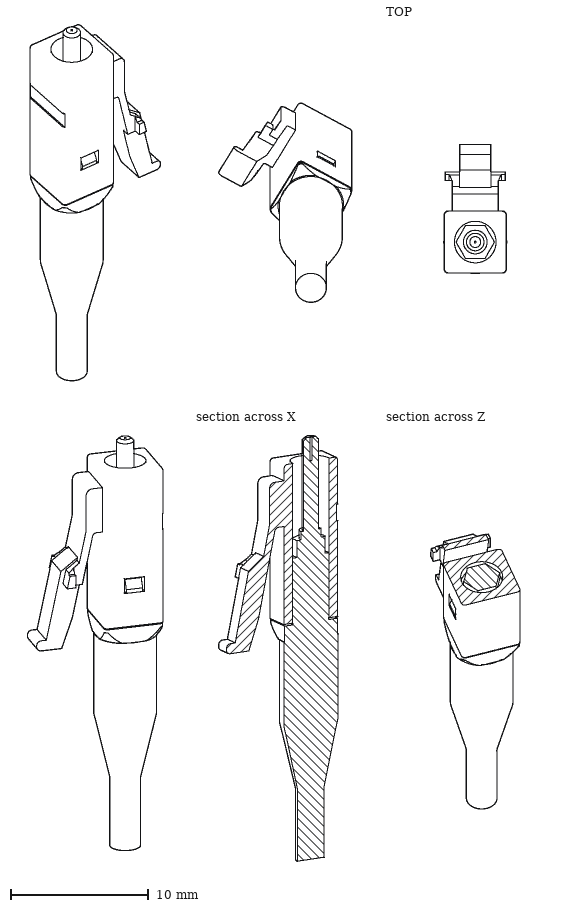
import cadquery as cq
import math


BOOT_CONE_START_Z = 5.33
BOOT_BARREL_START_Z = 10.32
BOOT_TOP_Z = 16.65
COLLAR_TOP_Z = 17.85
HOUSING_BOTTOM_Z = 17.95
HOUSING_TOP_Z = 29.97
FERRULE_TIP_Z = 31.75

HOUSING_WIDTH = 4.5
EDGE_RADIUS = 0.3
BORE_RADIUS = 3.02 / 2
BAND_BOTTOM_Z = 25.15
BAND_HEIGHT = 1.25
BAND_DEPTH = 0.1

WINDOW_WIDTH = 1.52
WINDOW_BOTTOM_Z = 20.55
WINDOW_HEIGHT = 1.15
TAB_WIDTH = 1.25
TAB_REACH = 2.25
TAB_RAMP_ROOT = 1.9
TAB_RAMP_START_Z = 20.83
TAB_TOP_Z = 21.5

LATCH_ARM_WIDTH = 3.35
LATCH_LEVER_WIDTH = 2.25
LATCH_TOP_Z = 28.75
LATCH_ROOT_Z = 25.3
LATCH_BACK_Y = 3.5
LATCH_BEND_Z = 25.55
ARM_BOTTOM_Z = 21.4
LEVER_BOTTOM_Z = 16.35
LEVER_KINK_Z = 18.67
FOOT_HEIGHT = 0.8
FOOT_TIP_Y = 7.08
FOOT_INNER_Y = 5.18
FOOT_RADIUS = 0.35
SHOULDER_RADIUS = 0.48
ROOT_RADIUS = 0.3
LATCH_LEAN = math.tan(math.radians(12))
INNER_EDGE_Y = 2.95
STEP_START_Y = 3.97
STEP_END_Y = 5.25
STEP_DROP = 0.95
ARM_STEP_OFFSET = 0.22
ARM_OUTER_Y = 4.85

WING_SPAN = 4.38
WING_INNER_Y = 4.45
WING_TOP_Z = 22.35
GUSSET_WIDTH = 0.22
GUSSET_STEEPNESS = 2

CABLE_RADIUS = 2.25 / 2
BOOT_RADIUS = 2.3
COLLAR_WIDTH = 4.45
DOME_BOTTOM_RADIUS = 2.38
DOME_MIDDLE_RADIUS = 2.67
DOME_MIDDLE_HEIGHT = 0.4
DOME_TOP_RADIUS = 3.0
DOME_TOP_HEIGHT = 0.95
INSERT_TOP_Z = 22.85
HEX_ACROSS_FLATS = 2.4
HEX_HEIGHT = 1.27
SEAT_RADIUS = 0.85
SEAT_HEIGHT = 0.65
FERRULE_RADIUS = 0.65
FERRULE_TIP_RADIUS = 0.8 / 2
FERRULE_TIP_HEIGHT = 0.22
FIBRE_HOLE_RADIUS = 0.05
FIBRE_HOLE_DEPTH = 1.78

SIDES = (-1, 1)


def square_block(width, bottom, top):
    """Square bar on the Z axis with rounded upright edges."""
    block = cq.Workplane("XY").workplane(offset=bottom).rect(width, width).extrude(top - bottom)
    return block.edges("|Z").fillet(EDGE_RADIUS)


def cylinder(radius, bottom, top):
    """Round bar on the Z axis."""
    return cq.Workplane("XY").workplane(offset=bottom).circle(radius).extrude(top - bottom)


def side_extrusion(points, width):
    """Extrude a (y, z) outline symmetrically about the X = 0 plane."""
    return cq.Workplane("YZ").polyline(points).close().extrude(width / 2, both=True)


def inner_edge_y(z):
    return INNER_EDGE_Y + (LATCH_ROOT_Z - z) * LATCH_LEAN


def back_edge_y(z):
    return LATCH_BACK_Y + (LATCH_BEND_Z - z) * LATCH_LEAN


STEP_START_Z = LATCH_BEND_Z - (STEP_START_Y - LATCH_BACK_Y) / LATCH_LEAN
STEP_SLOPE = STEP_DROP / (STEP_END_Y - STEP_START_Y)
ARM_STEP_Z = STEP_START_Z - ARM_STEP_OFFSET
ARM_OUTER_Z = ARM_STEP_Z - (ARM_OUTER_Y - back_edge_y(ARM_STEP_Z)) * STEP_SLOPE


def arm_outer_y(z):
    """Outer face of the wide arm and its wings, below the step."""
    return ARM_OUTER_Y + (ARM_OUTER_Z - z) * LATCH_LEAN


def make_latch_arm():
    root_y = HOUSING_WIDTH / 2
    outline = [
        (root_y, LATCH_TOP_Z),
        (LATCH_BACK_Y, LATCH_TOP_Z),
        (LATCH_BACK_Y, LATCH_BEND_Z),
        (back_edge_y(ARM_STEP_Z), ARM_STEP_Z),
        (ARM_OUTER_Y, ARM_OUTER_Z),
        (arm_outer_y(ARM_BOTTOM_Z), ARM_BOTTOM_Z),
        (inner_edge_y(ARM_BOTTOM_Z), ARM_BOTTOM_Z),
        (INNER_EDGE_Y, LATCH_ROOT_Z),
        (root_y, LATCH_ROOT_Z),
    ]
    arm = side_extrusion(outline, LATCH_ARM_WIDTH)
    arm = arm.edges(cq.NearestToPointSelector((0, LATCH_BACK_Y, LATCH_TOP_Z))).fillet(SHOULDER_RADIUS)
    return arm.edges(cq.NearestToPointSelector((0, INNER_EDGE_Y, LATCH_ROOT_Z))).fillet(ROOT_RADIUS)


def make_latch_lever():
    step_end_z = STEP_START_Z - STEP_DROP
    foot_top_z = LEVER_BOTTOM_Z + FOOT_HEIGHT
    foot_root_y = STEP_END_Y + (step_end_z - foot_top_z) * LATCH_LEAN
    outline = [
        (STEP_START_Y, STEP_START_Z),
        (STEP_END_Y, step_end_z),
        (foot_root_y, foot_top_z),
        (FOOT_TIP_Y, foot_top_z),
        (FOOT_TIP_Y, LEVER_BOTTOM_Z),
        (FOOT_INNER_Y, LEVER_BOTTOM_Z),
        (inner_edge_y(LEVER_KINK_Z), LEVER_KINK_Z),
        (inner_edge_y(STEP_START_Z), STEP_START_Z),
    ]
    lever = side_extrusion(outline, LATCH_LEVER_WIDTH)
    return lever.faces(">Y").edges("|X").fillet(FOOT_RADIUS)


def make_wings():
    """Bar across the arm whose ends stand out as wings, with a sloped gusset on top of each."""
    outline = [
        (WING_INNER_Y, ARM_BOTTOM_Z),
        (arm_outer_y(ARM_BOTTOM_Z), ARM_BOTTOM_Z),
        (ARM_OUTER_Y, ARM_OUTER_Z),
        (WING_INNER_Y, ARM_OUTER_Z + (ARM_OUTER_Y - WING_INNER_Y) * STEP_SLOPE),
    ]
    bar = side_extrusion(outline, WING_SPAN)
    half_arm = LATCH_ARM_WIDTH / 2
    gusset_top_z = WING_TOP_Z + GUSSET_STEEPNESS * GUSSET_WIDTH
    envelope = (
        cq.Workplane("XZ")
        .polyline([
            (-WING_SPAN / 2, ARM_BOTTOM_Z),
            (-WING_SPAN / 2, WING_TOP_Z),
            (-half_arm - GUSSET_WIDTH, WING_TOP_Z),
            (-half_arm, gusset_top_z),
            (half_arm, gusset_top_z),
            (half_arm + GUSSET_WIDTH, WING_TOP_Z),
            (WING_SPAN / 2, WING_TOP_Z),
            (WING_SPAN / 2, ARM_BOTTOM_Z),
        ])
        .close()
        .extrude(-FOOT_TIP_Y)
    )
    return bar.intersect(envelope)


def make_housing():
    body = square_block(HOUSING_WIDTH, HOUSING_BOTTOM_Z, HOUSING_TOP_Z)
    body = body.faces(">Z").edges().fillet(EDGE_RADIUS)
    band = cq.Workplane("XY").box(HOUSING_WIDTH, BAND_DEPTH, BAND_HEIGHT, centered=(True, False, False))
    body = body.cut(band.translate((0, -HOUSING_WIDTH / 2, BAND_BOTTOM_Z)))
    body = body.union(make_latch_arm()).union(make_latch_lever()).union(make_wings())
    body = body.cut(cylinder(BORE_RADIUS, HOUSING_BOTTOM_Z, HOUSING_TOP_Z))
    windows = cq.Workplane("XY").box(HOUSING_WIDTH, WINDOW_WIDTH, WINDOW_HEIGHT, centered=(True, True, False))
    return body.cut(windows.translate((0, 0, WINDOW_BOTTOM_Z)))


def make_boot_and_cable():
    profile = [
        (0, 0),
        (CABLE_RADIUS, 0),
        (CABLE_RADIUS, BOOT_CONE_START_Z),
        (BOOT_RADIUS, BOOT_BARREL_START_Z),
        (BOOT_RADIUS, BOOT_TOP_Z),
        (0, BOOT_TOP_Z),
    ]
    return cq.Workplane("XZ").polyline(profile).close().revolve(360, (0, 0), (0, 1))


def make_collar():
    """Square collar whose lower corners are trimmed by a dome."""
    dome_top_z = BOOT_TOP_Z + DOME_TOP_HEIGHT
    trimmer = (
        cq.Workplane("XZ")
        .moveTo(0, BOOT_TOP_Z)
        .lineTo(DOME_BOTTOM_RADIUS, BOOT_TOP_Z)
        .threePointArc((DOME_MIDDLE_RADIUS, BOOT_TOP_Z + DOME_MIDDLE_HEIGHT), (DOME_TOP_RADIUS, dome_top_z))
        .lineTo(COLLAR_WIDTH, dome_top_z)
        .lineTo(COLLAR_WIDTH, COLLAR_TOP_Z)
        .lineTo(0, COLLAR_TOP_Z)
        .close()
        .revolve(360, (0, 0), (0, 1))
    )
    return square_block(COLLAR_WIDTH, BOOT_TOP_Z, COLLAR_TOP_Z).intersect(trimmer)


def make_snap_tab(side):
    """Ramped tab that stands out of the insert into one side window."""
    profile = [
        (0, WINDOW_BOTTOM_Z),
        (side * TAB_REACH, WINDOW_BOTTOM_Z),
        (side * TAB_REACH, TAB_RAMP_START_Z),
        (side * TAB_RAMP_ROOT, TAB_TOP_Z),
        (0, TAB_TOP_Z),
    ]
    return cq.Workplane("XZ").polyline(profile).close().extrude(TAB_WIDTH / 2, both=True)


def make_ferrule_assembly():
    """Hexagonal flange, round seat and the ferrule with its chamfered tip."""
    hex_top_z = INSERT_TOP_Z + HEX_HEIGHT
    flange = (
        cq.Workplane("XY")
        .workplane(offset=INSERT_TOP_Z)
        .polygon(6, HEX_ACROSS_FLATS / math.cos(math.pi / 6))
        .extrude(HEX_HEIGHT)
    )
    seat = cylinder(SEAT_RADIUS, hex_top_z, hex_top_z + SEAT_HEIGHT)
    ferrule = cylinder(FERRULE_RADIUS, hex_top_z, FERRULE_TIP_Z)
    ferrule = ferrule.faces(">Z").chamfer(FERRULE_TIP_HEIGHT, FERRULE_RADIUS - FERRULE_TIP_RADIUS)
    hole = cylinder(FIBRE_HOLE_RADIUS, FERRULE_TIP_Z - FIBRE_HOLE_DEPTH, FERRULE_TIP_Z)
    return flange.union(seat).union(ferrule).cut(hole)


def make_rear_body():
    body = make_boot_and_cable().union(make_collar())
    body = body.union(cylinder(BORE_RADIUS, COLLAR_TOP_Z, INSERT_TOP_Z))
    for side in SIDES:
        body = body.union(make_snap_tab(side))
    return body.union(make_ferrule_assembly())


housing = make_housing()
rear_body = make_rear_body()
result = cq.Compound.makeCompound([housing.solids().val(), rear_body.solids().val()])